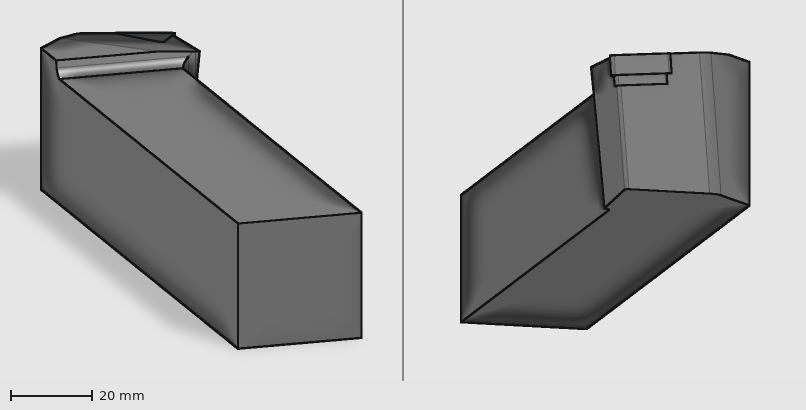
import cadquery as cq
import math

LENGTH = 170.0
SHANK_SIZE = 32.0
HEAD_HEIGHT = 36.0
HEAD_END = 27.2
STEP_RUN = 2.5
WALL_LEAN = 0.3
FOOT_HEIGHT = 2.2
FOOT_SAG = 0.3
CHAMFER = 15.3
SIDE_CORNER_RADIUS = 0.8
CORNER_RADIUS = 4.6

FLANK_ANGLE = 5.8
END_FACE_X = 4.0
SIDE_FACE_Y = 34.7
SIDE_FACE_TURN = 2.6

RAKE_ANGLE = 7.0
RIDGE_OFFSET = 0.7

INSERT_TIP_Y = 39.5
INSERT_SIDE = 16.7
NOSE_RADIUS = 0.8
INSERT_THICKNESS = 5.0
PAD_THICKNESS = 2.5
PAD_INSET = 0.5

STEP_END = HEAD_END + STEP_RUN
FLANK_SLOPE = math.tan(math.radians(FLANK_ANGLE))
RAKE_SLOPE = math.tan(math.radians(RAKE_ANGLE)) / math.sqrt(2)
RAKE_NORMAL = cq.Vector(-RAKE_SLOPE, RAKE_SLOPE, 1)
EDGE_DIRECTION = cq.Vector(0, 1, -RAKE_SLOPE)


def head_outline(z):
    """Corner points of the head section at height z."""
    lean = FLANK_SLOPE * z
    end_x = END_FACE_X - lean
    side_fall = math.tan(math.radians(SIDE_FACE_TURN))

    def side_y(x):
        return SIDE_FACE_Y + lean - side_fall * (x - END_FACE_X)

    return [
        (CHAMFER, 0),
        (STEP_END, 0),
        (STEP_END, side_y(STEP_END)),
        (end_x, side_y(end_x)),
        (end_x, CHAMFER - end_x),
    ]


SIDE_CORNER = 3
CHAMFER_CORNER = 4


def corner_edge(corner):
    """Selector for the upright edge at one corner of the head outline."""
    middle = head_outline(HEAD_HEIGHT / 2)[corner]
    return cq.selectors.NearestToPointSelector((*middle, HEAD_HEIGHT / 2))


def make_head():
    head = (
        cq.Workplane("XY")
        .polyline(head_outline(0)).close()
        .workplane(offset=HEAD_HEIGHT)
        .polyline(head_outline(HEAD_HEIGHT)).close()
        .loft(ruled=True, combine=True)
    )
    head = head.edges(corner_edge(CHAMFER_CORNER)).fillet(CORNER_RADIUS)
    return head.edges(corner_edge(SIDE_CORNER)).fillet(SIDE_CORNER_RADIUS)


def step_relief(plane, depth):
    """Space outside the shank behind the head, with a hollow foot at the step."""
    clear = SHANK_SIZE + HEAD_HEIGHT
    foot_start = HEAD_END + WALL_LEAN
    foot_run = STEP_END - foot_start
    foot_chord = math.hypot(foot_run, FOOT_HEIGHT)
    foot_middle = (
        foot_start + foot_run / 2 - FOOT_SAG * FOOT_HEIGHT / foot_chord,
        SHANK_SIZE + FOOT_HEIGHT / 2 - FOOT_SAG * foot_run / foot_chord,
    )
    return (
        cq.Workplane(plane)
        .moveTo(HEAD_END, clear)
        .lineTo(HEAD_END, HEAD_HEIGHT)
        .lineTo(foot_start, SHANK_SIZE + FOOT_HEIGHT)
        .threePointArc(foot_middle, (STEP_END, SHANK_SIZE))
        .lineTo(LENGTH, SHANK_SIZE)
        .lineTo(LENGTH, clear)
        .close()
        .extrude(depth)
    )


def rake_relief():
    """Block lying on the inclined rake face, above the head."""
    ridge = cq.Plane(origin=(RIDGE_OFFSET, 0, HEAD_HEIGHT), xDir=(1, 1, 0), normal=RAKE_NORMAL)
    return cq.Workplane(ridge).rect(LENGTH, LENGTH).extrude(HEAD_HEIGHT)


def rake_height(x, y):
    return HEAD_HEIGHT - RAKE_SLOPE * (y - x + RIDGE_OFFSET)


def triangle_prism(depth, thickness, inset=0):
    """Rounded triangle square to the rake face, starting at a depth below it."""
    nose_y = INSERT_TIP_Y
    plane = cq.Plane(
        origin=(0, nose_y, rake_height(0, nose_y)), xDir=EDGE_DIRECTION, normal=RAKE_NORMAL
    )
    overshoot = NOSE_RADIUS * (math.sqrt(3) - 1)
    inner_side = INSERT_SIDE - 2 * math.sqrt(3) * inset
    near = overshoot - math.sqrt(3) * inset
    apex_depth = inset + inner_side * math.sqrt(3) / 2
    return (
        cq.Workplane(plane)
        .workplane(offset=-depth)
        .polyline([(near, -inset), (near - inner_side, -inset), (near - inner_side / 2, -apex_depth)])
        .close()
        .extrude(-thickness)
        .edges(cq.selectors.ParallelDirSelector(RAKE_NORMAL))
        .fillet(NOSE_RADIUS)
    )


def make_insert():
    return triangle_prism(0, INSERT_THICKNESS)


def make_holder(insert):
    shank = cq.Workplane("XY").box(LENGTH - HEAD_END, SHANK_SIZE, SHANK_SIZE, centered=False)
    shank = shank.translate((HEAD_END, 0, 0))
    top_relief = step_relief("XZ", -2 * SHANK_SIZE)
    side_relief = step_relief("XY", HEAD_HEIGHT)
    head = make_head().cut(rake_relief())
    seat_pad = triangle_prism(INSERT_THICKNESS, PAD_THICKNESS, PAD_INSET)
    return head.union(shank).cut(top_relief).cut(side_relief).union(seat_pad).cut(insert)


insert = make_insert()
holder = make_holder(insert)
result = cq.Compound.makeCompound([holder.val(), insert.val()])